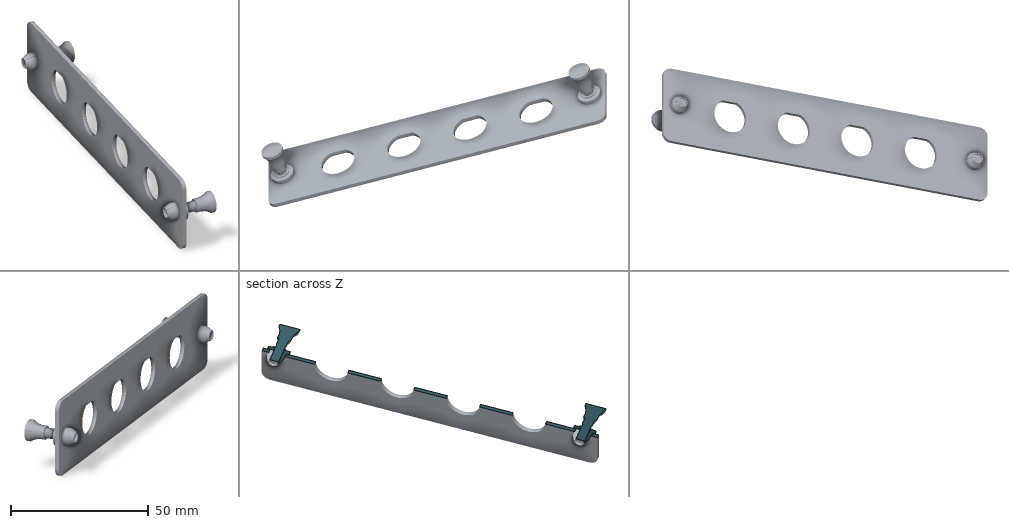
import cadquery as cq

PANEL_LENGTH = 129.5
PANEL_HEIGHT = 29.0
PANEL_THICKNESS = 1.5
CORNER_RADIUS = 3.2

CUTOUT_COUNT = 4
CUTOUT_PITCH = 25.4
CUTOUT_RADIUS = 6.3
CUTOUT_FLAT_HEIGHT = 5.7

FASTENER_SPACING = 118.0

BARREL_RADIUS = 3.1
COLLAR_RADIUS = 4.3
COLLAR_THICKNESS = 1.5
LIP_RADIUS = 2.6
LIP_THICKNESS = 0.4
NOSE_RADIUS = 2.0
NOSE_STRAIGHT = 1.8
NOSE_LENGTH = 4.1
SLIT_COUNT = 3
SLIT_WIDTH = 0.1
FIRST_SLIT_ANGLE = 60

PIN_RADIUS = 1.7
PIN_RECESS = 0.9
SHAFT_RADIUS = 2.0
BAND_RADIUS = 2.6
FLARE_MID_RADIUS = 2.8
KNOB_RADIUS = 4.0
PIN_EXPOSED = 0.9
SHAFT_CHAMFER = 0.4
SHAFT_LENGTH = 3.2
BAND_THICKNESS = 1.2
FLARE_LENGTH = 4.7
RIM_THICKNESS = 1.2

nose_end = -NOSE_LENGTH
pin_end = nose_end + PIN_RECESS
nose_shoulder = -NOSE_STRAIGHT
collar_back = PANEL_THICKNESS + COLLAR_THICKNESS
lip_back = collar_back + LIP_THICKNESS
shaft_front = lip_back + PIN_EXPOSED
band_front = shaft_front + SHAFT_LENGTH
flare_front = band_front + BAND_THICKNESS
flare_back = flare_front + FLARE_LENGTH
knob_back = flare_back + RIM_THICKNESS

fastener_places = [-FASTENER_SPACING / 2, FASTENER_SPACING / 2]


def panel_slab(width, height):
    """Block of panel thickness, centred on the Y axis, front face at Y = 0."""
    return cq.Workplane("XY").box(width, PANEL_THICKNESS, height).translate((0, PANEL_THICKNESS / 2, 0))


def panel_cylinder(x, radius):
    """Cylinder through the panel at x along its centre line."""
    return cq.Workplane("XZ", origin=(x, 0, 0)).circle(radius).extrude(-PANEL_THICKNESS)


def cutout(x):
    """Round opening with its top cut off flat."""
    height = CUTOUT_RADIUS + CUTOUT_FLAT_HEIGHT
    centre_z = CUTOUT_FLAT_HEIGHT - height / 2
    envelope = panel_slab(2 * CUTOUT_RADIUS, height).translate((x, 0, centre_z))
    return panel_cylinder(x, CUTOUT_RADIUS).intersect(envelope)


def make_panel():
    """Rounded panel with the row of cutouts and a hole for each grommet."""
    body = panel_slab(PANEL_LENGTH, PANEL_HEIGHT).edges("|Y").fillet(CORNER_RADIUS)
    first_cutout_x = -(CUTOUT_COUNT - 1) * CUTOUT_PITCH / 2
    for i in range(CUTOUT_COUNT):
        body = body.cut(cutout(first_cutout_x + i * CUTOUT_PITCH))
    for x in fastener_places:
        body = body.cut(panel_cylinder(x, BARREL_RADIUS))
    return body


def revolve_about_y(profile, x):
    """Revolve a closed (radius, y) profile about Y and move it to x."""
    return profile.close().revolve(360, (0, 0, 0), (0, 1, 0)).translate((x, 0, 0))


def slit(x, angle):
    """Thin radial blade from the axis outwards, reaching from the nose end to the collar."""
    slit_length = PANEL_THICKNESS - nose_end
    blade = cq.Workplane("XY").box(COLLAR_RADIUS, slit_length, SLIT_WIDTH, centered=(False, False, True))
    blade = blade.translate((0, nose_end, 0))
    return blade.rotate((0, 0, 0), (0, 1, 0), -angle).translate((x, 0, 0))


def make_grommet(x):
    """Bored grommet with its barrel and nose split by radial slits."""
    profile = (
        cq.Workplane("XY")
        .moveTo(PIN_RADIUS, nose_end)
        .lineTo(NOSE_RADIUS, nose_end)
        .lineTo(BARREL_RADIUS, nose_shoulder)
        .lineTo(BARREL_RADIUS, PANEL_THICKNESS)
        .lineTo(COLLAR_RADIUS, PANEL_THICKNESS)
        .lineTo(COLLAR_RADIUS, collar_back)
        .lineTo(LIP_RADIUS, collar_back)
        .lineTo(LIP_RADIUS, lip_back)
        .lineTo(PIN_RADIUS, lip_back)
    )
    body = revolve_about_y(profile, x)
    for i in range(SLIT_COUNT):
        body = body.cut(slit(x, FIRST_SLIT_ANGLE + i * 360 / SLIT_COUNT))
    return body


def make_plunger(x):
    """Solid push-pull plunger whose pin fills the grommet bore up to the recess."""
    flare_middle = (FLARE_MID_RADIUS, (flare_front + flare_back) / 2)
    profile = (
        cq.Workplane("XY")
        .moveTo(0, pin_end)
        .lineTo(PIN_RADIUS, pin_end)
        .lineTo(PIN_RADIUS, shaft_front)
        .lineTo(SHAFT_RADIUS, shaft_front + SHAFT_CHAMFER)
        .lineTo(SHAFT_RADIUS, band_front)
        .lineTo(BAND_RADIUS, band_front)
        .lineTo(BAND_RADIUS, flare_front)
        .threePointArc(flare_middle, (KNOB_RADIUS, flare_back))
        .lineTo(KNOB_RADIUS, knob_back)
        .lineTo(0, knob_back)
    )
    return revolve_about_y(profile, x)


panel = make_panel()
grommets = [make_grommet(x) for x in fastener_places]
plungers = [make_plunger(x) for x in fastener_places]

result = cq.Compound.makeCompound([panel.val(), *[body.val() for body in grommets + plungers]])